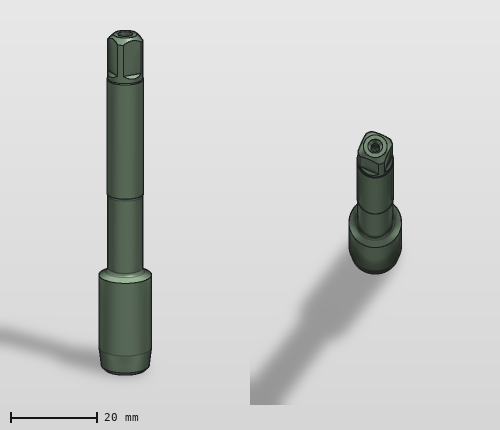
import cadquery as cq
import math


total_length = 82.0

head_diameter = 12.2
head_length = 23.0
lead_length = 5.2
lead_small_diameter = 11.14
tip_chamfer = 0.85

head_cone_angle = 30.0
neck_fillet_radius = 1.0

neck_diameter = 8.16
shank_diameter = 8.5
shank_bottom_z = 43.0
shank_top_z = 71.0
shank_top_chamfer_height = 0.26

drive_diameter = 8.2
square_width = 6.7
square_length = 9.0
square_top_chamfer = 1.35

centre_hole_diameter = 2.0
centre_mouth_diameter = 3.4
countersink_angle = 60.0
centre_hole_depth = 3.0
drill_point_angle = 120.0

head_radius = head_diameter / 2
neck_radius = neck_diameter / 2
shank_radius = shank_diameter / 2
drive_radius = drive_diameter / 2


def make_head():
    """Plain cylinder with a slightly tapered lead and a chamfered tip."""
    lead_small_radius = lead_small_diameter / 2
    profile = (
        cq.Workplane("XZ")
        .moveTo(0, 0)
        .lineTo(lead_small_radius - tip_chamfer, 0)
        .lineTo(lead_small_radius, tip_chamfer)
        .lineTo(head_radius, lead_length)
        .lineTo(head_radius, head_length)
        .lineTo(0, head_length)
        .close()
    )
    return profile.revolve(360, (0, 0, 0), (0, 1, 0))


def point_on_fillet(centre_z, angle):
    """Point on a concave neck fillet; the angle in radians is measured from the neck wall."""
    radius = neck_radius + neck_fillet_radius * (1 - math.cos(angle))
    return radius, centre_z + neck_fillet_radius * math.sin(angle)


def make_shank_blank():
    """Turned shape of the shank, from the cone on the head up to the drive end."""
    lower_turn = math.radians(90 - head_cone_angle)
    lower_end_radius = point_on_fillet(0, lower_turn)[0]
    cone_height = (head_radius - lower_end_radius) * math.tan(math.radians(head_cone_angle))
    lower_centre_z = head_length + cone_height + neck_fillet_radius * math.sin(lower_turn)

    upper_turn = math.acos(1 - (shank_radius - neck_radius) / neck_fillet_radius)
    upper_centre_z = shank_bottom_z - neck_fillet_radius * math.sin(upper_turn)

    profile = (
        cq.Workplane("XZ")
        .moveTo(0, head_length)
        .lineTo(head_radius, head_length)
        .lineTo(lower_end_radius, head_length + cone_height)
        .threePointArc(
            point_on_fillet(lower_centre_z, -lower_turn / 2),
            (neck_radius, lower_centre_z),
        )
        .lineTo(neck_radius, upper_centre_z)
        .threePointArc(
            point_on_fillet(upper_centre_z, upper_turn / 2),
            (shank_radius, shank_bottom_z),
        )
        .lineTo(shank_radius, shank_top_z)
        .lineTo(drive_radius, shank_top_z + shank_top_chamfer_height)
        .lineTo(drive_radius, total_length - square_top_chamfer)
        .lineTo(drive_radius - square_top_chamfer, total_length)
        .lineTo(0, total_length)
        .close()
    )
    return profile.revolve(360, (0, 0, 0), (0, 1, 0))


def make_flat_cutter():
    """Material beside one drive flat, ending in a 45 degree run-out at the bottom."""
    half_width = square_width / 2
    flat_bottom_z = total_length - square_length
    runout = shank_radius - half_width
    return (
        cq.Workplane("XZ")
        .moveTo(half_width, total_length)
        .lineTo(half_width, flat_bottom_z)
        .lineTo(half_width + runout, flat_bottom_z - runout)
        .lineTo(half_width + runout, total_length)
        .close()
        .extrude(shank_radius, both=True)
    )


def make_centre_hole():
    """Countersunk centre hole with a conical drill point."""
    hole_radius = centre_hole_diameter / 2
    mouth_radius = centre_mouth_diameter / 2
    countersink_depth = (mouth_radius - hole_radius) / math.tan(math.radians(countersink_angle / 2))
    point_depth = hole_radius / math.tan(math.radians(drill_point_angle / 2))
    hole_bottom_z = total_length - centre_hole_depth
    profile = (
        cq.Workplane("XZ")
        .moveTo(0, total_length)
        .lineTo(mouth_radius, total_length)
        .lineTo(hole_radius, total_length - countersink_depth)
        .lineTo(hole_radius, hole_bottom_z)
        .lineTo(0, hole_bottom_z - point_depth)
        .close()
    )
    return profile.revolve(360, (0, 0, 0), (0, 1, 0))


def make_shank():
    """Shank with its four drive flats and centre hole."""
    body = make_shank_blank()
    for side in range(4):
        body = body.cut(make_flat_cutter().rotate((0, 0, 0), (0, 0, 1), side * 90))
    return body.cut(make_centre_hole())


head = make_head()
shank = make_shank()

result = cq.Compound.makeCompound([head.val(), shank.val()])